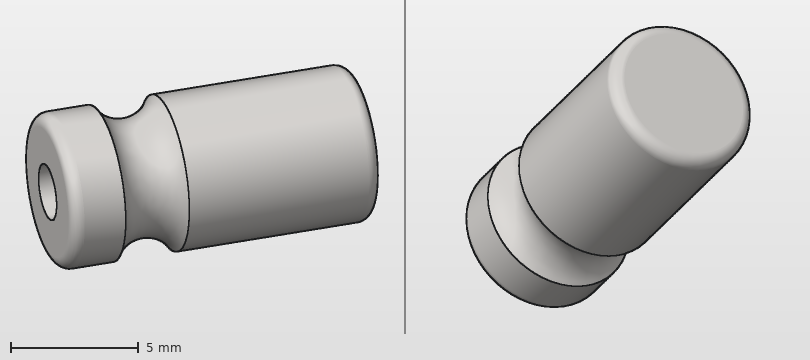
import cadquery as cq

length = 12.7
diameter = 6.24
edge_radius = 0.5

groove_center = 3.49
groove_width = 2.62
neck_diameter = 4.76

hole_diameter = 2.24
hole_depth = 0.94

radius = diameter / 2
front_y = -length / 2
groove_y = front_y + groove_center


def make_body():
    """Solid cylinder with rounded end edges."""
    body = cq.Workplane("XZ", origin=(0, -front_y, 0)).circle(radius).extrude(length)
    return body.edges("%CIRCLE").fillet(edge_radius)


def make_groove():
    """Ring with a circular-arc inner side, revolved about the pin axis."""
    half_width = groove_width / 2
    outer_radius = diameter
    return (
        cq.Workplane("XY")
        .moveTo(outer_radius, groove_y - half_width)
        .lineTo(radius, groove_y - half_width)
        .threePointArc((neck_diameter / 2, groove_y), (radius, groove_y + half_width))
        .lineTo(outer_radius, groove_y + half_width)
        .close()
        .revolve(360, (0, 0, 0), (0, 1, 0))
    )


def make_hole():
    """Flat-bottomed cylinder running inward from the front face."""
    return cq.Workplane("XZ", origin=(0, front_y, 0)).circle(hole_diameter / 2).extrude(-hole_depth)


result = make_body().cut(make_groove()).cut(make_hole())